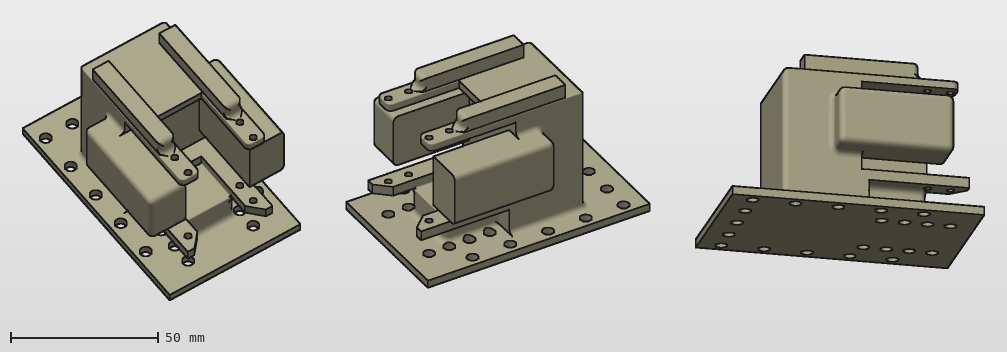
import cadquery as cq

plate_length = 88.0
plate_width = 54.0
plate_thickness = 3.0
plate_hole_diameter = 4.1
first_hole_x = 8.0
side_hole_pitch = 15.0
side_hole_count = 5
side_hole_y = 23.0
end_hole_y = 12.0

column_left = 20.0
column_width = 35.0
column_top = 51.2
slot_back = 47.4
slot_top = 48.3
slot_bottom = 16.6

arm_end = 81.4
prong_end = 85.0
prong_bottom = 12.9
prong_tip_width = 2.7
prong_taper_length = 5.4
gap_back = 53.5
gap_width = 19.7

pin_hole_diameter = 2.5
pin_hole_y = 13.5
pin_hole_pitch = 8.0
last_pin_x = 79.4
pin_hole_count = 2
plate_pin_row_count = 4

foot_back = 50.0
pedestal_end = 71.5
pedestal_width = 21.8

box_left = 37.6
box_right = 77.5
box_bottom = 22.3
box_top = 42.6
box_span = 55.0
box_inner_y = 13.2

rail_left = 27.5
rail_right = 67.6
rail_width = 6.6
rail_top = 56.5

edge_radius = 2.0
small_radius = 0.4

margin = 0.1

half_column = column_width / 2
half_gap = gap_width / 2
half_pedestal = pedestal_width / 2
rail_y = half_column - small_radius - rail_width / 2


def block(x_min, x_max, y_min, y_max, z_min, z_max):
    """Box given by its limits along each axis."""
    size = (x_max - x_min, y_max - y_min, z_max - z_min)
    return cq.Workplane("XY").box(*size, centered=False).translate((x_min, y_min, z_min))


def edges_within(x_min, x_max, y_min, y_max, z_min, z_max):
    """Selector for edges whose centres lie inside the limits, widened by the margin."""
    low = (x_min - margin, y_min - margin, z_min - margin)
    high = (x_max + margin, y_max + margin, z_max + margin)
    return cq.selectors.BoxSelector(low, high)


def both_sides(shape):
    """A shape joined with its mirror image across Y = 0."""
    return shape.union(shape.mirror("XZ"))


def make_yoke():
    """C-shaped side profile cut to the rounded plan of the column, with the central gap removed."""
    profile = (
        cq.Workplane("XZ", origin=(0, half_column, 0))
        .moveTo(column_left, plate_thickness)
        .lineTo(foot_back, plate_thickness)
        .lineTo(foot_back, prong_bottom)
        .lineTo(prong_end, prong_bottom)
        .lineTo(prong_end, slot_bottom)
        .lineTo(slot_back, slot_bottom)
        .lineTo(slot_back, slot_top)
        .lineTo(arm_end, slot_top)
        .lineTo(arm_end, column_top)
        .lineTo(column_left + edge_radius, column_top)
        .radiusArc((column_left, column_top - edge_radius), -edge_radius)
        .close()
        .extrude(column_width)
    )
    plan = (
        block(column_left, prong_end, -half_column, half_column, plate_thickness, column_top)
        .edges("|Z and <X")
        .fillet(edge_radius)
    )
    gap = block(gap_back, prong_end, -half_gap, half_gap, prong_bottom, column_top)
    return profile.intersect(plan).cut(gap)


def round_arms(yoke):
    """Round the arm tips in plan, then soften the upper rim of the yoke."""
    tips = edges_within(arm_end, arm_end, -half_column, half_column, slot_top, column_top)
    rim = edges_within(slot_back, arm_end, -half_column, half_column, column_top, column_top)
    yoke = yoke.edges("|Z").edges(tips).fillet(edge_radius)
    return yoke.edges("|X").edges(rim).fillet(small_radius)


def taper_prongs(yoke):
    """Slant the inner corner of each prong tip."""
    corner = (
        cq.Workplane("XY", origin=(0, 0, prong_bottom))
        .moveTo(prong_end - prong_taper_length, half_gap)
        .lineTo(prong_end, half_gap)
        .lineTo(prong_end, half_column - prong_tip_width)
        .close()
        .extrude(slot_bottom - prong_bottom)
    )
    return yoke.cut(both_sides(corner))


def make_plate():
    return block(0, plate_length, -plate_width / 2, plate_width / 2, 0, plate_thickness)


def fillet_column_foot(body):
    """Concave fillet where the left and long sides of the column meet the plate."""
    before_back = foot_back - 2 * margin
    foot = edges_within(
        column_left, before_back, -half_column, half_column, plate_thickness, plate_thickness
    )
    return body.edges(foot).fillet(edge_radius)


def pedestal_core():
    """Pedestal with rounded vertical corners at its right end."""
    limits = (-half_pedestal, half_pedestal, plate_thickness, prong_bottom)
    return block(slot_back, pedestal_end, *limits).edges("|Z and >X").fillet(edge_radius)


def pedestal_envelope():
    """Space the pedestal and its flare may fill, with the top edge of the end softened."""
    limits = (-half_column, half_column, plate_thickness, prong_bottom)
    return block(slot_back, pedestal_end, *limits).edges(">X and >Z").fillet(small_radius)


def flare_pedestal(core):
    """Pedestal flaring out below the prongs with a concave fillet."""
    limits = (-half_column, half_column, prong_bottom, slot_bottom)
    ceiling = block(slot_back, prong_end, *limits)
    top_seam = edges_within(
        slot_back + margin, pedestal_end, -half_pedestal, half_pedestal, prong_bottom, prong_bottom
    )
    return ceiling.union(core).edges(top_seam).fillet(edge_radius)


def gap_floor_strip():
    """Small concave fillet between the +Y prong and the top of the pedestal."""
    return (
        cq.Workplane("YZ", origin=(gap_back, 0, 0))
        .moveTo(half_gap, prong_bottom)
        .lineTo(half_gap, prong_bottom + small_radius)
        .radiusArc((half_gap - small_radius, prong_bottom), small_radius)
        .close()
        .extrude(pedestal_end - small_radius - gap_back)
    )


def add_pedestal(body):
    """Join the pedestal, blending it into the column, the plate and the prongs."""
    core = pedestal_core()
    envelope = pedestal_envelope()
    body = body.union(core.intersect(envelope))
    y_limits = (-half_pedestal, half_pedestal)
    wall_seams = edges_within(foot_back, foot_back, *y_limits, plate_thickness, prong_bottom)
    plate_seams = edges_within(foot_back, pedestal_end, *y_limits, plate_thickness, plate_thickness)
    body = body.edges(wall_seams + plate_seams).fillet(edge_radius)
    body = body.union(flare_pedestal(core).intersect(envelope))
    return body.union(both_sides(gap_floor_strip()))


def add_side_boxes(body):
    """Boxes on both sides of the column; the right end is rounded only on the -Y box."""
    near_box = block(box_left, box_right, -box_span / 2, -box_inner_y, box_bottom, box_top)
    far_box = near_box.mirror("XZ")
    near_box = near_box.edges("not >Y").fillet(edge_radius)
    far_box = far_box.edges("not (<Y or >X)").fillet(edge_radius)
    body = body.union(near_box).union(far_box)
    before_slot = slot_back - 2 * margin
    for side_y in (-half_column, half_column):
        seam = edges_within(box_left, before_slot, side_y, side_y, box_bottom, box_top)
        body = body.edges(seam).fillet(edge_radius)
    return body


def make_rail():
    """Rail with a rounded right end and a concave foot, clipped to the rail width."""
    half_width = rail_width / 2
    foot_end = rail_right + edge_radius
    limits = (-half_width, half_width, column_top, rail_top)
    bar = block(rail_left, rail_right, *limits).edges("|Z and >X").fillet(edge_radius)
    slab = block(rail_left, arm_end, -rail_width, rail_width, slot_top, column_top)
    foot = edges_within(rail_right, rail_right, -margin, margin, column_top, column_top)
    rail = slab.union(bar).edges(foot).fillet(edge_radius)

    plan = block(rail_left, foot_end, *limits).edges("|Z and >X").chamfer(edge_radius)
    end_profile = (
        block(rail_left, rail_right, *limits)
        .edges(">X and >Z")
        .fillet(edge_radius)
        .union(block(rail_left, foot_end, -half_width, half_width, column_top, column_top + edge_radius))
    )
    return rail.intersect(plan).intersect(end_profile)


def add_rails(body):
    return body.union(both_sides(make_rail().translate((0, -rail_y, 0))))


def drill(body, points, diameter, z_min, z_max):
    """Vertical holes through everything between two heights."""
    tools = cq.Workplane("XY", origin=(0, 0, z_min)).pushPoints(points).circle(diameter / 2)
    return body.cut(tools.extrude(z_max - z_min))


def mirrored_row(x_values, y):
    return [(x, side * y) for x in x_values for side in (-1, 1)]


def drill_holes(body):
    side_x = [first_hole_x + i * side_hole_pitch for i in range(side_hole_count)]
    pin_x = [last_pin_x - i * pin_hole_pitch for i in range(plate_pin_row_count)]
    plate_points = mirrored_row(side_x, side_hole_y)
    plate_points += mirrored_row([first_hole_x], end_hole_y) + [(first_hole_x, 0)]
    plate_points += mirrored_row(pin_x, pin_hole_y)
    pin_points = mirrored_row(pin_x[:pin_hole_count], pin_hole_y)
    body = drill(body, plate_points, plate_hole_diameter, 0, plate_thickness + edge_radius)
    body = drill(body, pin_points, pin_hole_diameter, prong_bottom, slot_bottom)
    return drill(body, pin_points, pin_hole_diameter, slot_top, column_top)


yoke = taper_prongs(round_arms(make_yoke()))
body = fillet_column_foot(make_plate().union(yoke))
body = add_pedestal(body)
body = add_side_boxes(body)
body = add_rails(body)
result = drill_holes(body)